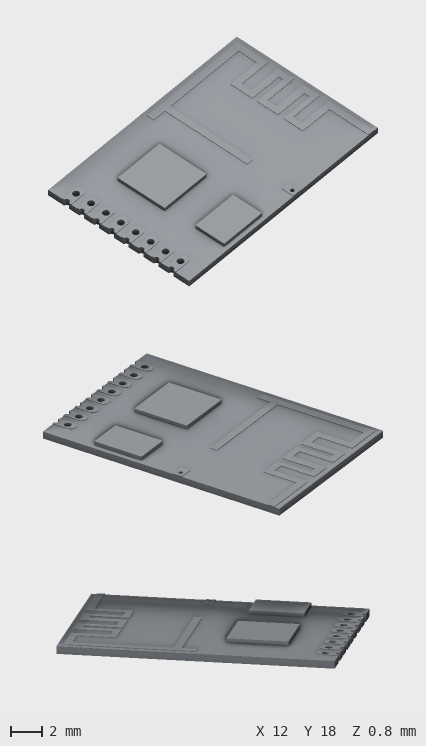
import cadquery as cq

board_width = 12.0
board_length = 18.0
board_thickness = 0.5
copper_thickness = 0.05
overall_height = 0.8
component_height = overall_height - board_thickness

pad_count = 8
pad_pitch = 1.27
first_pad_x = 1.57
pad_width = 0.8
pad_length = 1.5
pad_hole_diameter = 0.5
pad_hole_y = 0.9
notch_radius = 0.2
pad_centres_x = [first_pad_x + i * pad_pitch for i in range(pad_count)]

stem_left = 0.38
stem_right = 0.95
stem_bottom = 9.0
antenna_top = 17.63
rail_bottom = 17.12
bend_top = 15.08
bend_bottom = 14.6
meander_legs = [
    (2.5, 3.02),
    (3.85, 4.36),
    (4.75, 5.2),
    (5.97, 6.54),
    (7.0, 7.4),
    (8.16, 8.66),
]
feed_end_x = 7.96
feed_bottom = 10.07
feed_top = 10.59

test_pad_left = 11.03
test_pad_length = 0.65
test_pad_y = 10.26
test_hole_x = 11.63
test_hole_diameter = 0.3

chip_centre = (4.77, 5.52)
chip_size = (4.0, 4.0)
crystal_centre = (10.45, 5.5)
crystal_size = (2.45, 3.6)


def copper(left, right, front, back):
    """Rectangle of copper lying on the top face of the board."""
    return (
        cq.Workplane("XY", origin=(left, front, board_thickness))
        .rect(right - left, back - front, centered=False)
        .extrude(copper_thickness)
    )


def make_component(centre, size):
    return (
        cq.Workplane("XY", origin=(*centre, board_thickness))
        .rect(*size)
        .extrude(component_height)
    )


def make_edge_pad(centre_x):
    """Copper pad starting at the front edge and ending in a half circle."""
    half_width = pad_width / 2
    shoulder_y = pad_length - half_width
    return (
        cq.Workplane("XY", origin=(centre_x, 0, board_thickness))
        .moveTo(-half_width, 0)
        .lineTo(half_width, 0)
        .lineTo(half_width, shoulder_y)
        .threePointArc((0, pad_length), (-half_width, shoulder_y))
        .close()
        .extrude(copper_thickness)
    )


def make_antenna():
    """Stem with a feed branch and a meander that runs to the right edge."""
    antenna = copper(stem_left, stem_right, stem_bottom, antenna_top)
    antenna = antenna.union(copper(stem_left, feed_end_x, feed_bottom, feed_top))
    for left, right in meander_legs:
        antenna = antenna.union(copper(left, right, bend_bottom, antenna_top))

    stops = [(stem_left, stem_right), *meander_legs, (board_width, board_width)]
    for i in range(len(stops) - 1):
        start = stops[i][0]
        end = stops[i + 1][1]
        if i % 2 == 0:
            link = copper(start, end, rail_bottom, antenna_top)
        else:
            link = copper(start, end, bend_bottom, bend_top)
        antenna = antenna.union(link)
    return antenna


def make_test_pad():
    return copper(
        test_pad_left,
        board_width,
        test_pad_y - test_pad_length / 2,
        test_pad_y + test_pad_length / 2,
    )


def make_drills(points, diameter):
    """Vertical cylinders that pass through the board and its copper."""
    return cq.Workplane("XY").pushPoints(points).circle(diameter / 2).extrude(overall_height)


result = cq.Workplane("XY").box(board_width, board_length, board_thickness, centered=False)
for pad_x in pad_centres_x:
    result = result.union(make_edge_pad(pad_x))
result = result.union(make_antenna())
result = result.union(make_test_pad())
result = result.union(make_component(chip_centre, chip_size))
result = result.union(make_component(crystal_centre, crystal_size))

result = result.cut(make_drills([(x, pad_hole_y) for x in pad_centres_x], pad_hole_diameter))
result = result.cut(make_drills([(x, 0) for x in pad_centres_x], 2 * notch_radius))
result = result.cut(make_drills([(test_hole_x, test_pad_y)], test_hole_diameter))